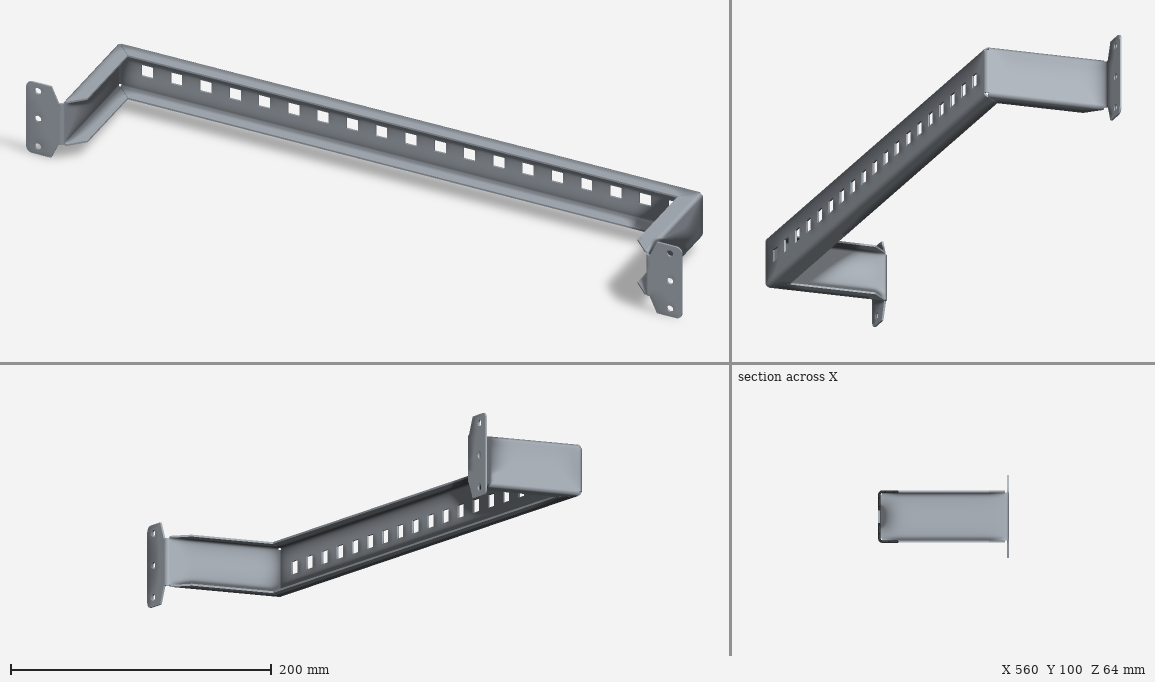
import cadquery as cq
import math

overall_length = 560.0
overall_depth = 100.0
plate_height = 64.0

sheet = 1.5
bend_inner = 1.5
bend_outer = bend_inner + sheet

channel_length = 500.0
channel_height = 40.0
flange_width = 15.0
miter_gap = 0.2
miter_angle = 45

square_size = 10.0
square_span = 450.0
square_count = 19
square_pitch = square_span / (square_count - 1)

plate_top_width = 21.0
plate_root_width = 27.5
plate_corner = 5.0
bolt_diameter = 5.5
bolt_inset = 10.0
bolt_span = 50.0
bolt_pitch = bolt_span / 2

leg_face = channel_length / 2
foot_bend_x = leg_face + bend_inner
foot_bend_y = sheet + bend_inner
half_channel = channel_height / 2
half_plate = plate_height / 2
half_strip = half_channel - bend_outer / 2


def rounded_block(offset, radius):
    """Block inset from the channel's outside faces, open-ended at the foot bends."""
    width = 2 * (leg_face - offset)
    height = channel_height - 2 * offset
    depth = overall_depth - offset - foot_bend_y
    return (
        cq.Workplane("XY")
        .box(width, depth, height, centered=(True, False, True))
        .translate((0, foot_bend_y, 0))
        .edges("|Z and >Y")
        .fillet(radius)
        .faces(">Z or <Z")
        .edges("not <Y")
        .fillet(radius)
    )


def channel():
    """Hollow channel bent around three sides, flanges opened in the middle."""
    shell = rounded_block(0, bend_outer).cut(rounded_block(sheet, bend_inner))
    opening = cq.Workplane("XY").box(
        2 * (leg_face - flange_width),
        overall_depth - flange_width,
        channel_height,
        centered=(True, False, True),
    )
    return shell.cut(opening)


def miter_slit(side):
    """Narrow diagonal gap between the flanges of the web and of one leg."""
    reach = flange_width - bend_outer
    middle = (flange_width + bend_outer) / 2
    return (
        cq.Workplane("XY")
        .box(reach * math.sqrt(2), miter_gap, channel_height)
        .rotate((0, 0, 0), (0, 0, 1), side * miter_angle)
        .translate((side * (leg_face - middle), overall_depth - middle, 0))
    )


def corner_relief(side):
    """Square notches above and below the vertical bend between the web and one leg."""
    x = side * (leg_face - bend_outer / 2)
    y = overall_depth - bend_outer / 2
    z = half_channel - bend_outer / 2
    return (
        cq.Workplane("XY")
        .pushPoints([(x, y, -z), (x, y, z)])
        .box(bend_outer, bend_outer, bend_outer)
    )


def flange_end_cut(side):
    """Wedge that trims both flanges of one leg at 45 degrees, sparing the leg's web."""
    inner = leg_face - flange_width
    outer = leg_face - sheet
    wedge = [
        (side * inner, 0),
        (side * outer, 0),
        (side * outer, sheet),
        (side * inner, flange_width),
    ]
    return (
        cq.Workplane("XY")
        .polyline(wedge)
        .close()
        .extrude(half_channel, both=True)
    )


def foot_bend(side):
    """Quarter bend joining one leg to its mounting plate."""
    diagonal = math.sqrt(0.5)

    def arc_point(radius):
        return (side * (foot_bend_x - radius * diagonal), foot_bend_y - radius * diagonal)

    return (
        cq.Workplane("XY")
        .moveTo(side * (foot_bend_x - bend_outer), foot_bend_y)
        .threePointArc(arc_point(bend_outer), (side * foot_bend_x, 0))
        .lineTo(side * foot_bend_x, sheet)
        .threePointArc(arc_point(bend_inner), (side * leg_face, foot_bend_y))
        .close()
        .extrude(half_strip, both=True)
    )


def mounting_plate(side):
    """Flat plate with a tapered root, rounded outer corners and three bolt holes."""
    end = side * overall_length / 2
    shoulder = end - side * plate_top_width
    root = end - side * plate_root_width
    bend = side * foot_bend_x
    bolts = [(end - side * bolt_inset, row * bolt_pitch) for row in (-1, 0, 1)]
    outline = [
        (bend, -half_strip),
        (root, -half_strip),
        (shoulder, -half_plate),
        (end, -half_plate),
        (end, half_plate),
        (shoulder, half_plate),
        (root, half_strip),
        (bend, half_strip),
    ]
    plate = cq.Workplane("XZ").polyline(outline).close().extrude(-sheet)
    plate = plate.edges("|Y").edges(">X" if side > 0 else "<X").fillet(plate_corner)
    holes = cq.Workplane("XZ").pushPoints(bolts).circle(bolt_diameter / 2).extrude(-sheet)
    return plate.cut(holes)


def square_holes():
    """Row of square holes through the back web."""
    return (
        cq.Workplane("XZ", origin=(0, overall_depth - bend_outer, 0))
        .rarray(square_pitch, 5.5, square_count, 1)
        .rect(square_size, square_size)
        .extrude(-bend_outer)
    )


result = channel().cut(square_holes())
for side in (-1, 1):
    result = result.cut(miter_slit(side)).cut(corner_relief(side)).cut(flange_end_cut(side))
    result = result.union(foot_bend(side)).union(mounting_plate(side))